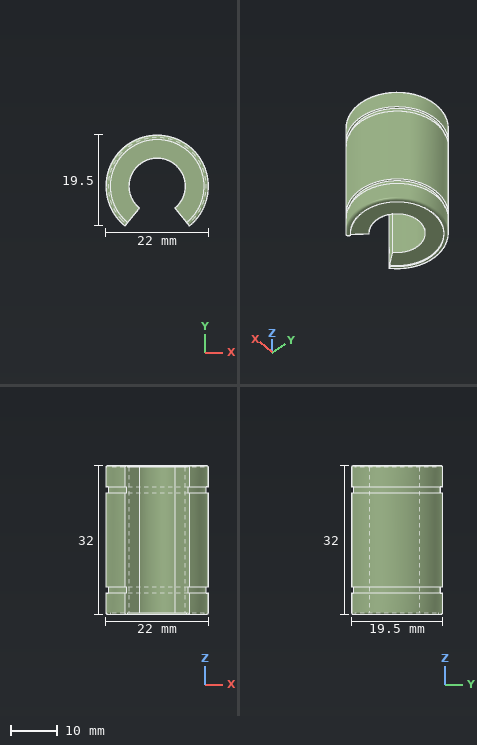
import cadquery as cq
import math

length = 32.0
outer_radius = 11.0
bore_radius = 6.0
opening_angle = 78.0

groove_radius = 10.5
groove_width = 1.3
groove_offset = 4.58

rim_inner_radius = 10.05
end_recess_depth = 0.32
edge_fillet = 0.48


def sleeve():
    """Round sleeve with rounded outer end edges, standing on Z = 0."""
    body = cq.Workplane("XY").circle(outer_radius).extrude(length)
    return body.edges("%CIRCLE").fillet(edge_fillet)


def disc(radius, bottom, height):
    return cq.Workplane("XY").workplane(offset=bottom).circle(radius).extrude(height)


def ring_groove(bottom):
    """Ring of material removed for a retaining-ring groove."""
    blank = disc(2 * outer_radius, bottom, groove_width)
    return blank.cut(disc(groove_radius, bottom, groove_width))


def opening():
    """Radial wedge that opens the sleeve along its full length."""
    reach = 2 * outer_radius
    half_width = reach * math.tan(math.radians(opening_angle / 2))
    corners = [(0, 0), (-half_width, -reach), (half_width, -reach)]
    return cq.Workplane("XY").polyline(corners).close().extrude(length)


result = sleeve().cut(disc(bore_radius, 0, length))

for groove_bottom in (groove_offset, length - groove_offset - groove_width):
    result = result.cut(ring_groove(groove_bottom))

for recess_bottom in (0, length - end_recess_depth):
    result = result.cut(disc(rim_inner_radius, recess_bottom, end_recess_depth))

result = result.cut(opening())